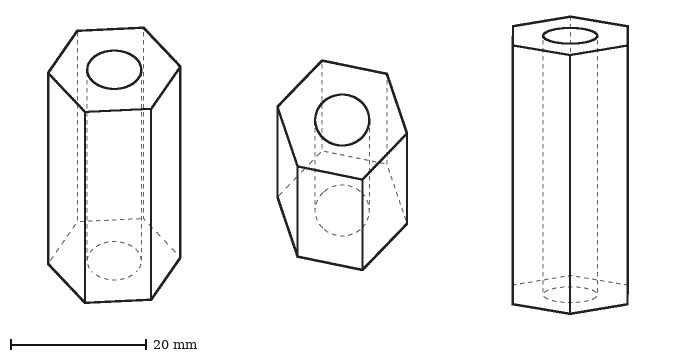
import cadquery as cq
import math

length = 40.0
across_flats = 17.0
bore_diameter = 8.0

across_corners = across_flats / math.cos(math.pi / 6)

body = (
    cq.Workplane("XY")
    .polygon(6, across_corners)
    .extrude(length)
    .rotate((0, 0, 0), (0, 0, 1), 90)
)

bore = cq.Workplane("XY").circle(bore_diameter / 2).extrude(length)

result = body.cut(bore)